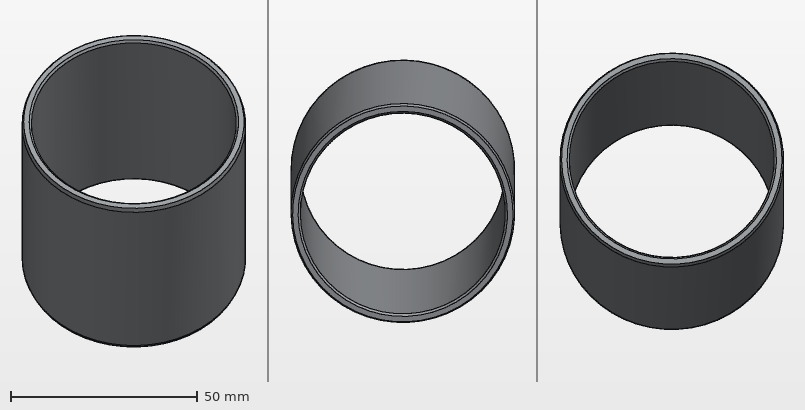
import cadquery as cq

outer_diameter = 60.0
length = 60.0
wall = 2.5
outer_chamfer_height = 1.2
outer_chamfer_width = 0.44
inner_chamfer = 0.6

outer_radius = outer_diameter / 2
inner_radius = outer_radius - wall
half_length = length / 2

wall_section = (
    cq.Workplane("YZ")
    .moveTo(inner_radius, half_length - inner_chamfer)
    .lineTo(inner_radius + inner_chamfer, half_length)
    .lineTo(outer_radius - outer_chamfer_width, half_length)
    .lineTo(outer_radius, half_length - outer_chamfer_height)
    .lineTo(outer_radius, -half_length + outer_chamfer_height)
    .lineTo(outer_radius - outer_chamfer_width, -half_length)
    .lineTo(inner_radius + inner_chamfer, -half_length)
    .lineTo(inner_radius, -half_length + inner_chamfer)
    .close()
)

result = wall_section.revolve(360, (0, 0, 0), (0, 1, 0))